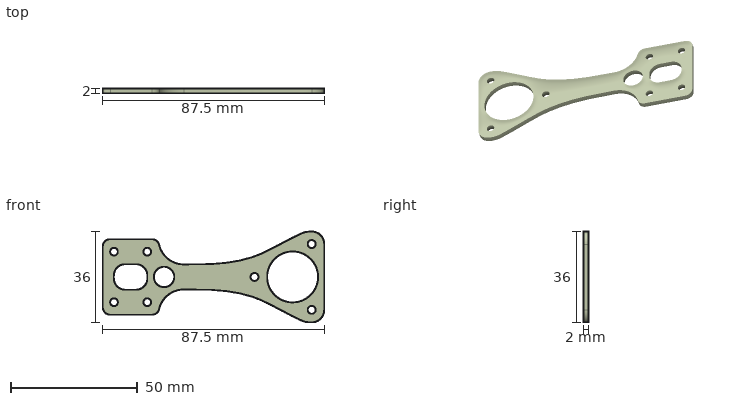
import cadquery as cq
import math

length = 87.5
thickness = 2.0
overall_height = 36.0

head_half_height = 15.0
head_corner_radius = 3.0
head_hole_diameter = 3.0
head_hole_near_x = 4.5
head_hole_far_x = 17.6
head_hole_z = 10.0
window_height = 10.0
window_corner_radius = 4.4

neck_half_height = 5.0
neck_arc_radius = 10.0
neck_start_x = 32.0
neck_hole_x = 24.2
neck_hole_diameter = 8.0

flare_corner_radius = 5.0
flare_hole_diameter = 3.1
flare_center_hole_x = 59.9
bore_x = 75.0
bore_diameter = 20.0
flare_curve_points = [(50.5, 5.9), (61.1, 8.6), (71.6, 13.8), (78.0, 17.0)]

corner_center_z = head_half_height - head_corner_radius
neck_arc_center_z = neck_half_height + neck_arc_radius
center_rise = neck_arc_center_z - corner_center_z
center_run = math.sqrt((head_corner_radius + neck_arc_radius) ** 2 - center_rise**2)
corner_center_x = neck_start_x - center_run
tangent_angle = math.atan2(center_rise, center_run)
flare_corner_x = length - flare_corner_radius
flare_half_height = overall_height / 2
flare_hole_z = flare_half_height - flare_corner_radius


def arc_point(center_x, center_z, radius, angle):
    return (center_x + radius * math.cos(angle), center_z + radius * math.sin(angle))


def upper_half_plate():
    """Solid above Z = 0, bounded by the head, neck and flare edges."""
    quarter_mid = math.pi / 4
    neck_mid_angle = (3 * math.pi / 2 + math.pi + tangent_angle) / 2
    tangent_point = arc_point(corner_center_x, corner_center_z, head_corner_radius, tangent_angle)
    far_corner_mid = arc_point(
        corner_center_x, corner_center_z, head_corner_radius, (math.pi / 2 + tangent_angle) / 2
    )
    near_corner_mid = arc_point(
        head_corner_radius, corner_center_z, head_corner_radius, math.pi - quarter_mid
    )
    neck_arc_mid = arc_point(
        neck_start_x, neck_arc_center_z, neck_arc_radius, neck_mid_angle
    )
    flare_corner_mid = arc_point(flare_corner_x, flare_hole_z, flare_corner_radius, quarter_mid)
    flare_end = (flare_corner_x, flare_half_height)
    return (
        cq.Workplane("XZ")
        .moveTo(0, 0)
        .lineTo(0, corner_center_z)
        .threePointArc(near_corner_mid, (head_corner_radius, head_half_height))
        .lineTo(corner_center_x, head_half_height)
        .threePointArc(far_corner_mid, tangent_point)
        .threePointArc(neck_arc_mid, (neck_start_x, neck_half_height))
        .spline(flare_curve_points + [flare_end], tangents=[(1, 0), (1, 0)], includeCurrent=True)
        .threePointArc(flare_corner_mid, (length, flare_hole_z))
        .lineTo(length, 0)
        .close()
        .extrude(thickness)
        .translate((0, thickness / 2, 0))
    )


def hole_cutter(points, diameter):
    return (
        cq.Workplane("XZ").pushPoints(points).circle(diameter / 2).extrude(thickness, both=True)
    )


def window_cutter():
    """Rounded window spanning the two columns of head holes."""
    return (
        cq.Workplane("XZ")
        .center((head_hole_near_x + head_hole_far_x) / 2, 0)
        .rect(head_hole_far_x - head_hole_near_x, window_height)
        .extrude(thickness, both=True)
        .edges("|Y")
        .fillet(window_corner_radius)
    )


upper_half = upper_half_plate()
plate = upper_half.union(upper_half.mirror("XY")).clean()

head_holes = [(x, z) for x in (head_hole_near_x, head_hole_far_x) for z in (-head_hole_z, head_hole_z)]
flare_holes = [
    (flare_center_hole_x, 0),
    (flare_corner_x, flare_hole_z),
    (flare_corner_x, -flare_hole_z),
]

result = (
    plate.cut(window_cutter())
    .cut(hole_cutter(head_holes, head_hole_diameter))
    .cut(hole_cutter([(neck_hole_x, 0)], neck_hole_diameter))
    .cut(hole_cutter(flare_holes, flare_hole_diameter))
    .cut(hole_cutter([(bore_x, 0)], bore_diameter))
)